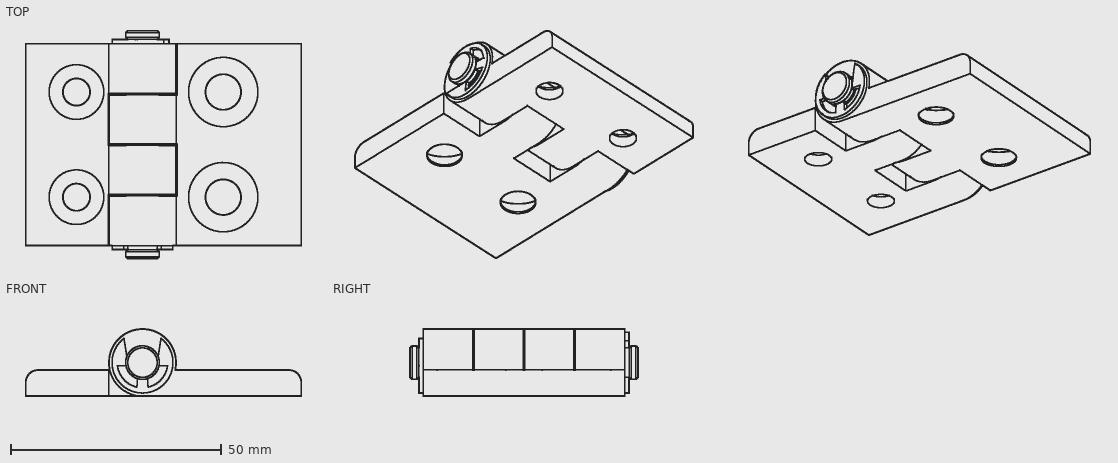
import cadquery as cq
import math


hinge_length = 48.0
knuckle_radius = 8.0
leaf_bottom = -knuckle_radius
leaf_thickness = 6.25
leaf_top = leaf_bottom + leaf_thickness
edge_fillet = 3.0
left_reach = 27.8
right_reach = 37.79

knuckle_count = 4
knuckle_pitch = hinge_length / knuckle_count
knuckle_gap = 0.33
left_slot_wall = knuckle_radius + 0.05
right_slot_wall = knuckle_radius + 0.2

hole_spacing = 25.0
left_hole_x = -15.7
left_hole_diameter = 6.4
left_sink_diameter = 13.0
left_sink_depth = 3.3
right_hole_x = 19.2
right_hole_diameter = 8.4
right_sink_diameter = 16.5
right_sink_depth = 5.75

pin_length = 54.25
pin_radius = 4.0
pin_chamfer = 0.5
groove_radius = 3.5

clip_thickness = 1.0
clip_radius = 7.25
clip_window_radius = 6.0
clip_window_top = -0.8
clip_tab_root_width = 2.7
clip_tab_tip_width = 2.3
clip_mouth_half_angle = 37.4
front_clip_turn = 0.0
rear_clip_turn = 81.5


def box(x_min, x_max, y_min, y_max, z_min, z_max):
    """Axis-aligned block between the given limits."""
    return (
        cq.Workplane("XY")
        .box(x_max - x_min, y_max - y_min, z_max - z_min, centered=False)
        .translate((x_min, y_min, z_min))
    )


def cylinder_y(radius, y_min, y_max):
    """Cylinder on the pin axis."""
    return cq.Workplane("XZ", origin=(0, y_max, 0)).circle(radius).extrude(y_max - y_min)


def knuckle_span(index):
    """Y limits of a pitch, counted from the -Y end."""
    y_min = -hinge_length / 2 + index * knuckle_pitch
    return y_min, y_min + knuckle_pitch


def leaf(side, reach, slot_wall, own_knuckles, screw_holes):
    """Leaf on one side (-1 left, +1 right) of the pin, with its own knuckles."""
    half_length = hinge_length / 2
    inner = side * slot_wall
    outer = side * reach
    body = box(min(inner, outer), max(inner, outer), -half_length, half_length, leaf_bottom, leaf_top)
    outer_top_edge = cq.selectors.NearestToPointSelector((outer, 0, leaf_top))
    body = body.edges(outer_top_edge).fillet(edge_fillet)

    for index in own_knuckles:
        y_min, y_max = knuckle_span(index)
        if index > 0:
            y_min += knuckle_gap / 2
        if index < knuckle_count - 1:
            y_max -= knuckle_gap / 2
        root = box(min(0, inner), max(0, inner), y_min, y_max, leaf_bottom, leaf_top)
        body = body.union(root).union(cylinder_y(knuckle_radius, y_min, y_max))

    body = body.cut(cylinder_y(pin_radius, -half_length, half_length))
    return body.cut(screw_holes)


def countersunk_pair(x, hole_diameter, sink_diameter, sink_depth):
    """Two solids, spaced along Y, to cut away for countersunk through holes."""
    hole_radius = hole_diameter / 2
    sink_radius = sink_diameter / 2
    hole = (
        cq.Workplane("XZ")
        .moveTo(0, leaf_bottom)
        .lineTo(hole_radius, leaf_bottom)
        .lineTo(hole_radius, leaf_top - sink_depth)
        .lineTo(sink_radius, leaf_top)
        .lineTo(0, leaf_top)
        .close()
        .revolve(360, (0, 0, 0), (0, 1, 0))
        .translate((x, hole_spacing / 2, 0))
    )
    return hole.union(hole.mirror("XZ"))


def make_pin():
    """Pin with a clip groove just outside each end of the knuckles and chamfered heads."""
    half_length = hinge_length / 2
    groove_end = half_length + clip_thickness
    pin = cylinder_y(pin_radius, -half_length, half_length)
    for end in (-1, 1):
        neck = cylinder_y(groove_radius, half_length, groove_end)
        head = cylinder_y(pin_radius, groove_end, pin_length / 2).edges().chamfer(pin_chamfer)
        pin_end = neck.union(head)
        if end < 0:
            pin_end = pin_end.mirror("XZ")
        pin = pin.union(pin_end)
    return pin


def make_clip(y_min, turn):
    """E-shaped clip: a disc with a flared mouth and two windows that leave three tabs."""
    y_max = y_min + clip_thickness
    clip = cylinder_y(clip_radius, y_min, y_max).cut(cylinder_y(groove_radius, y_min, y_max))

    corner_x = clip_radius * math.sin(math.radians(clip_mouth_half_angle))
    corner_z = clip_radius * math.cos(math.radians(clip_mouth_half_angle))
    overrun = clip_radius / corner_z
    mouth_x = groove_radius + (corner_x - groove_radius) * overrun
    mouth = (
        cq.Workplane("XZ", origin=(0, y_max, 0))
        .polyline([
            (-groove_radius, 0),
            (groove_radius, 0),
            (mouth_x, clip_radius),
            (-mouth_x, clip_radius),
        ])
        .close()
        .extrude(clip_thickness)
    )

    tab = (
        cq.Workplane("XZ", origin=(0, y_max, 0))
        .polyline([
            (-clip_tab_tip_width / 2, -groove_radius),
            (clip_tab_tip_width / 2, -groove_radius),
            (clip_tab_root_width / 2, -clip_window_radius),
            (-clip_tab_root_width / 2, -clip_window_radius),
        ])
        .close()
        .extrude(clip_thickness)
    )
    windows = (
        cylinder_y(clip_window_radius, y_min, y_max)
        .cut(box(-clip_radius, clip_radius, y_min, y_max, clip_window_top, clip_radius))
        .cut(cylinder_y(groove_radius, y_min, y_max))
        .cut(tab)
    )
    return clip.cut(mouth).cut(windows).rotate((0, 0, 0), (0, 1, 0), turn)


left_holes = countersunk_pair(left_hole_x, left_hole_diameter, left_sink_diameter, left_sink_depth)
right_holes = countersunk_pair(right_hole_x, right_hole_diameter, right_sink_diameter, right_sink_depth)
left_leaf = leaf(-1, left_reach, left_slot_wall, (1, 3), left_holes)
right_leaf = leaf(1, right_reach, right_slot_wall, (0, 2), right_holes)
pin = make_pin()
front_clip = make_clip(-hinge_length / 2 - clip_thickness, front_clip_turn)
rear_clip = make_clip(hinge_length / 2, rear_clip_turn)

result = cq.Compound.makeCompound([
    left_leaf.val(),
    right_leaf.val(),
    pin.val(),
    front_clip.val(),
    rear_clip.val(),
])